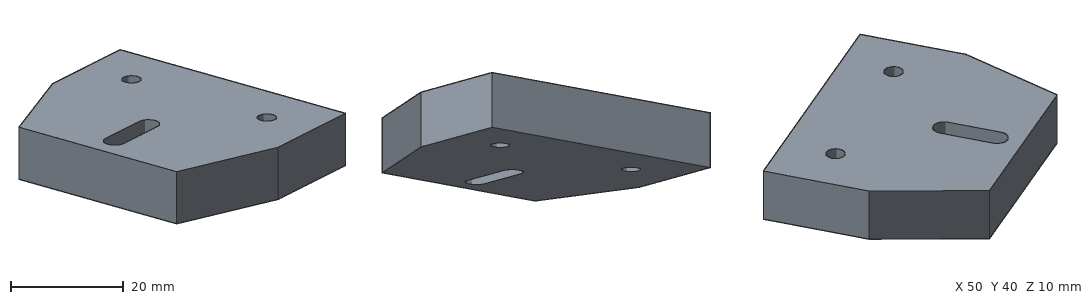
import cadquery as cq

width = 50
depth = 40
thickness = 10
taper_inset = 7.5
taper_depth = depth / 2

hole_diameter = 3.4
hole_spacing = 30
hole_back_margin = 10

slot_width = 4
slot_length = 14
slot_front_offset = 10

half_width = width / 2
half_front = half_width - taper_inset


def tapered_plate():
    """Plate narrowing toward its front edge, which lies at Y = 0."""
    outline = [
        (-half_front, 0),
        (half_front, 0),
        (half_width, taper_depth),
        (half_width, depth),
        (-half_width, depth),
        (-half_width, taper_depth),
    ]
    return cq.Workplane("XY").polyline(outline).close().extrude(thickness)


def mounting_holes():
    """Cutters for the two through holes near the back edge."""
    hole_y = depth - hole_back_margin
    centers = [(side * hole_spacing / 2, hole_y) for side in (-1, 1)]
    return cq.Workplane("XY").pushPoints(centers).circle(hole_diameter / 2).extrude(thickness)


def adjustment_slot():
    """Cutter for the through slot running along Y."""
    return (
        cq.Workplane("XY")
        .center(0, slot_front_offset)
        .slot2D(slot_length, slot_width, angle=90)
        .extrude(thickness)
    )


result = tapered_plate().cut(mounting_holes()).cut(adjustment_slot())